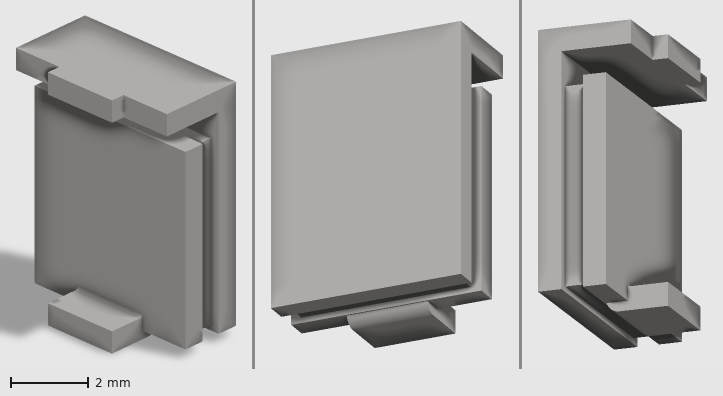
import cadquery as cq

width = 5.44
height = 7.36
depth = 3.0
sheet = 0.65

plate_bottom = 0.265
flange_depth = 2.575
tab_width = 2.31

core_front = 1.245
core_side_inset = 0.295
core_end_inset = 0.155

front_plate_front = 1.885
front_plate_top = 6.005

lead_back = 1.28
stem_height = 1.105
lead_outer_radius = 0.37
lead_inner_radius = 0.09


def block(block_width, near, far, bottom, top):
    """Box centred on X, spanning near to far in -Y from the back face."""
    return (
        cq.Workplane("XY")
        .box(block_width, far - near, top - bottom, centered=(True, False, False))
        .translate((0, -far, bottom))
    )


def bracket():
    """Back plate with a top flange and a narrow tab on the flange."""
    back_plate = block(width, 0, sheet, plate_bottom, height)
    flange = block(width, 0, flange_depth, height - sheet, height)
    tab = block(tab_width, 0, depth, height - sheet, height)
    return back_plate.union(flange).union(tab)


def core():
    """Inset layer joining the back plate to the front plate."""
    return block(
        width - 2 * core_side_inset,
        sheet,
        core_front,
        plate_bottom + core_end_inset,
        front_plate_top - core_end_inset,
    )


def front_plate():
    return block(width, core_front, front_plate_front, plate_bottom, front_plate_top)


def lead():
    """L-shaped lead, bent forward out of the front plate at its lower edge."""
    foot = block(tab_width, lead_back, depth, 0, sheet)
    stem = block(tab_width, lead_back, front_plate_front, 0, stem_height)
    bend = foot.union(stem).edges("|X and >Y and <Z").fillet(lead_outer_radius)
    inner_corner = cq.selectors.NearestToPointSelector((0, -front_plate_front, sheet))
    return bend.edges(inner_corner).fillet(lead_inner_radius)


result = bracket().union(core()).union(front_plate()).union(lead())